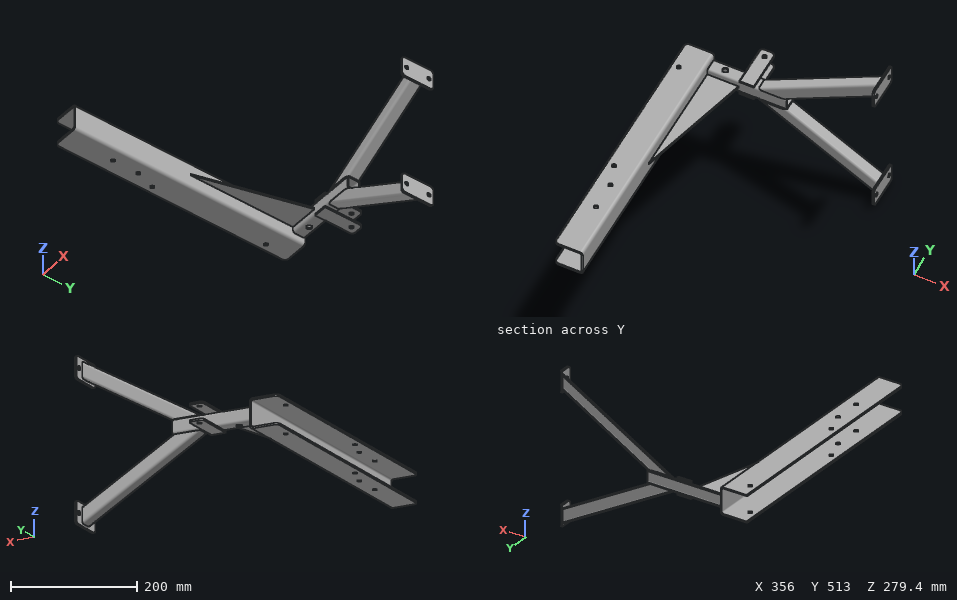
import cadquery as cq
import math

OVERALL_X = 356.0
OVERALL_Y = 513.0
BOLT_DIAMETER = 6.5

EAR_OVERHANG = 51.0
CHANNEL_LENGTH = OVERALL_Y - EAR_OVERHANG
CHANNEL_SIZE = 51.0
CHANNEL_WALL = 3.0
CHANNEL_BEND_RADIUS = 6.0
FLANGE_CORNER_RADIUS = 7.5
FLANGE_HOLES = [
    (13.0, 49.5),
    (13.0, 278.0),
    (25.5, 316.0),
    (25.5, 366.5),
]

TUBE_SIZE = 25.0
TUBE_EDGE_RADIUS = 4.5
TUBE_WALL = 2.5
ARM_LENGTH = 140.0
ARM_HOLE_DIAMETER = 9.5
ARM_HOLE_OFFSET = 25.5
ARM_END_X = CHANNEL_SIZE + ARM_LENGTH
TUBE_CENTER_Y = -TUBE_SIZE / 2
TUBE_TOP_Z = TUBE_SIZE / 2

EAR_WIDTH = 25.5
EAR_LENGTH = TUBE_SIZE + EAR_OVERHANG
EAR_THICKNESS = 3.0
EAR_OFFSET = 57.0
EAR_CORNER_RADIUS = 6.0
EAR_HOLE_FROM_END = 13.0

GUSSET_X = 55.5
GUSSET_Y = 205.0
GUSSET_THICKNESS = 3.0

STRUT_ANGLE = 30.0
PLATE_THICKNESS = 3.0
PLATE_LENGTH = 62.5
PLATE_HEIGHT = 38.5
PLATE_CORNER_RADIUS = 6.0
PLATE_HOLE_SPACING = 44.5
PLATE_INNER_X = OVERALL_X - PLATE_THICKNESS

STRUT_SLOPE = math.tan(math.radians(STRUT_ANGLE))
STRUT_START_X = ARM_END_X - TUBE_SIZE / (2 * math.sin(math.radians(STRUT_ANGLE)))
PLATE_CENTER_Z = TUBE_TOP_Z + (PLATE_INNER_X - STRUT_START_X) * STRUT_SLOPE


def make_channel():
    """U section with rounded bends, rounded flange corners and bolt holes through both flanges."""
    outer = (
        cq.Workplane("XY")
        .box(CHANNEL_SIZE, CHANNEL_LENGTH, CHANNEL_SIZE)
        .edges("|Y and >X")
        .fillet(CHANNEL_BEND_RADIUS)
    )
    inner = (
        cq.Workplane("XY")
        .box(CHANNEL_SIZE, CHANNEL_LENGTH, CHANNEL_SIZE - 2 * CHANNEL_WALL)
        .edges("|Y and >X")
        .fillet(CHANNEL_BEND_RADIUS - CHANNEL_WALL)
        .translate((-CHANNEL_WALL, 0, 0))
    )
    channel = (
        outer.cut(inner)
        .edges("|Z and <X")
        .fillet(FLANGE_CORNER_RADIUS)
        .translate((CHANNEL_SIZE / 2, -CHANNEL_LENGTH / 2, 0))
    )
    holes = (
        cq.Workplane("XY")
        .pushPoints([(x, -y) for x, y in FLANGE_HOLES])
        .circle(BOLT_DIAMETER / 2)
        .extrude(CHANNEL_SIZE, both=True)
    )
    return channel.cut(holes)


def make_square_prism(size, edge_radius, length):
    """Square prism with rounded long edges, along +X from the origin."""
    return cq.Workplane("YZ").rect(size, size).extrude(length).edges("|X").fillet(edge_radius)


def make_tube(length):
    """Hollow square tube, open at both ends, along +X from the origin."""
    outer = make_square_prism(TUBE_SIZE, TUBE_EDGE_RADIUS, length)
    bore = make_square_prism(TUBE_SIZE - 2 * TUBE_WALL, TUBE_EDGE_RADIUS - TUBE_WALL, length)
    return outer.cut(bore)


def make_arm():
    """Horizontal tube that runs along +X from the channel web, with one vertical through hole."""
    hole = (
        cq.Workplane("XY")
        .center(ARM_HOLE_OFFSET, 0)
        .circle(ARM_HOLE_DIAMETER / 2)
        .extrude(TUBE_SIZE, both=True)
    )
    return make_tube(ARM_LENGTH).cut(hole).translate((CHANNEL_SIZE, TUBE_CENTER_Y, 0))


def make_ear(side):
    """Ear on the upper (side = 1) or lower (side = -1) face of the arm."""
    return (
        cq.Workplane("XY")
        .box(EAR_WIDTH, EAR_LENGTH, EAR_THICKNESS)
        .edges("|Z and >Y")
        .fillet(EAR_CORNER_RADIUS)
        .faces(">Z")
        .workplane()
        .center(0, EAR_LENGTH / 2 - EAR_HOLE_FROM_END)
        .hole(BOLT_DIAMETER)
        .translate(
            (
                CHANNEL_SIZE + EAR_OFFSET + EAR_WIDTH / 2,
                EAR_OVERHANG - EAR_LENGTH / 2,
                side * (TUBE_TOP_Z + EAR_THICKNESS / 2),
            )
        )
    )


def make_gusset():
    """Right-angled triangle in the corner between the channel web and the arm."""
    return (
        cq.Workplane("XY")
        .moveTo(CHANNEL_SIZE, -TUBE_SIZE)
        .lineTo(CHANNEL_SIZE + GUSSET_X, -TUBE_SIZE)
        .lineTo(CHANNEL_SIZE, -TUBE_SIZE - GUSSET_Y)
        .close()
        .extrude(GUSSET_THICKNESS / 2, both=True)
    )


def make_strut(side):
    """Strut above (side = 1) or below (side = -1) the arm, trimmed to the arm and the plate."""
    long_tube = (
        make_tube(2 * OVERALL_X)
        .translate((-OVERALL_X, 0, 0))
        .rotate((0, 0, 0), (0, 1, 0), -side * STRUT_ANGLE)
        .translate((STRUT_START_X, TUBE_CENTER_Y, side * TUBE_TOP_Z))
    )
    trim = (
        cq.Workplane("XY")
        .box(PLATE_INNER_X, OVERALL_X, OVERALL_X)
        .translate((PLATE_INNER_X / 2, 0, side * (TUBE_TOP_Z + OVERALL_X / 2)))
    )
    return long_tube.intersect(trim)


def make_plate(side):
    """End plate of the upper (side = 1) or lower (side = -1) strut."""
    return (
        cq.Workplane("YZ")
        .rect(PLATE_LENGTH, PLATE_HEIGHT)
        .extrude(PLATE_THICKNESS)
        .edges("|X")
        .fillet(PLATE_CORNER_RADIUS)
        .faces(">X")
        .workplane()
        .rarray(PLATE_HOLE_SPACING, 5, 2, 1)
        .hole(BOLT_DIAMETER)
        .translate((PLATE_INNER_X, TUBE_CENTER_Y, side * PLATE_CENTER_Z))
    )


channel = make_channel()
arm = make_arm()
gusset = make_gusset()

ears = []
struts = []
plates = []
for side in (1, -1):
    ears.append(make_ear(side).val())
    struts.append(make_strut(side).val())
    plates.append(make_plate(side).val())

result = cq.Compound.makeCompound(
    [channel.val(), arm.val(), gusset.val(), *ears, *struts, *plates]
)